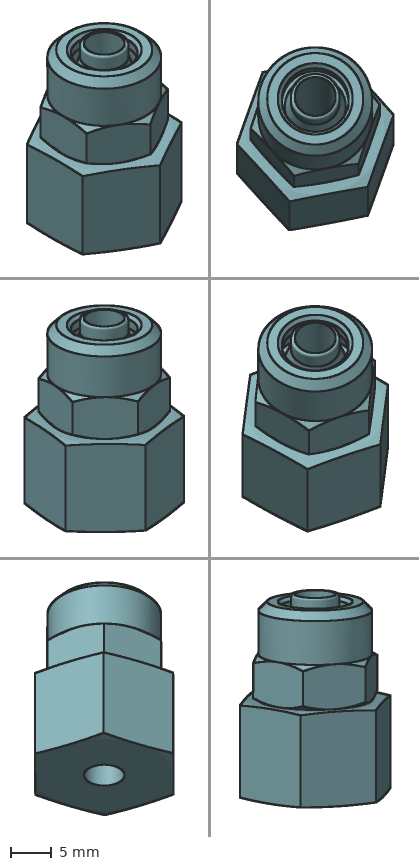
import cadquery as cq
import math

total_height = 25
bore_diameter = 5

base_flats = 17
base_height = 11.88
base_corner_drop = 0.18
tail_diameter = 6
tail_tip_round = 0.3
barb_diameter = 7.5
barb_top = 23.05
barb_bottom = 20.9

nut_top = 24.08
nut_flats = 14
nut_hex_height = 5.62
nut_corner_angle = 30
collar_diameter = 14
collar_top_diameter = 11.8
collar_chamfer_height = 1.1
nut_throat_diameter = 8.2
nut_mouth_diameter = 9.2
nut_mouth_depth = 0.5
nut_throat_bottom = 22.38

shank_diameter = 10.75
shank_top = 19


def across_corners(flats):
    return flats / math.cos(math.radians(30))


def chamfered_hexagon(flats, bottom, height, corner_drop):
    """Hexagonal prism, corners on X, with both ends turned down to a cone."""
    flat_radius = flats / 2
    corner_radius = across_corners(flats) / 2
    top = bottom + height
    prism = cq.Workplane("XY").workplane(offset=bottom).polygon(6, 2 * corner_radius).extrude(height)
    turned_envelope = (
        cq.Workplane("XZ")
        .moveTo(0, bottom)
        .lineTo(flat_radius, bottom)
        .lineTo(corner_radius, bottom + corner_drop)
        .lineTo(corner_radius, top - corner_drop)
        .lineTo(flat_radius, top)
        .lineTo(0, top)
        .close()
        .revolve(360, (0, 0), (0, 1))
    )
    return prism.intersect(turned_envelope)


def make_spigot():
    """Round part of the body: a shank in the nut bore, then the barbed tail."""
    tail_radius = tail_diameter / 2
    return (
        cq.Workplane("XZ")
        .moveTo(0, 0)
        .lineTo(shank_diameter / 2, 0)
        .lineTo(shank_diameter / 2, shank_top)
        .lineTo(barb_diameter / 2, shank_top)
        .lineTo(barb_diameter / 2, barb_bottom)
        .lineTo(tail_radius, barb_top)
        .lineTo(tail_radius, total_height - tail_tip_round)
        .radiusArc((tail_radius - tail_tip_round, total_height), -tail_tip_round)
        .lineTo(0, total_height)
        .close()
        .revolve(360, (0, 0), (0, 1))
    )


def make_fitting_body():
    base = chamfered_hexagon(base_flats, 0, base_height, base_corner_drop)
    bore = cq.Workplane("XY").circle(bore_diameter / 2).extrude(total_height)
    return base.union(make_spigot()).cut(bore)


def make_nut():
    corner_overhang = (across_corners(nut_flats) - nut_flats) / 2
    corner_drop = corner_overhang * math.tan(math.radians(nut_corner_angle))
    hexagon = chamfered_hexagon(nut_flats, base_height, nut_hex_height, corner_drop)
    collar = (
        cq.Workplane("XZ")
        .moveTo(0, base_height)
        .lineTo(collar_diameter / 2, base_height)
        .lineTo(collar_diameter / 2, nut_top - collar_chamfer_height)
        .lineTo(collar_top_diameter / 2, nut_top)
        .lineTo(0, nut_top)
        .close()
        .revolve(360, (0, 0), (0, 1))
    )
    bore = (
        cq.Workplane("XZ")
        .moveTo(0, base_height)
        .lineTo(shank_diameter / 2, base_height)
        .lineTo(shank_diameter / 2, nut_throat_bottom)
        .lineTo(nut_throat_diameter / 2, nut_throat_bottom)
        .lineTo(nut_throat_diameter / 2, nut_top - nut_mouth_depth)
        .lineTo(nut_mouth_diameter / 2, nut_top)
        .lineTo(0, nut_top)
        .close()
        .revolve(360, (0, 0), (0, 1))
    )
    return hexagon.union(collar).cut(bore)


fitting_body = make_fitting_body()
nut = make_nut()

result = cq.Compound.makeCompound([fitting_body.val(), nut.val()])